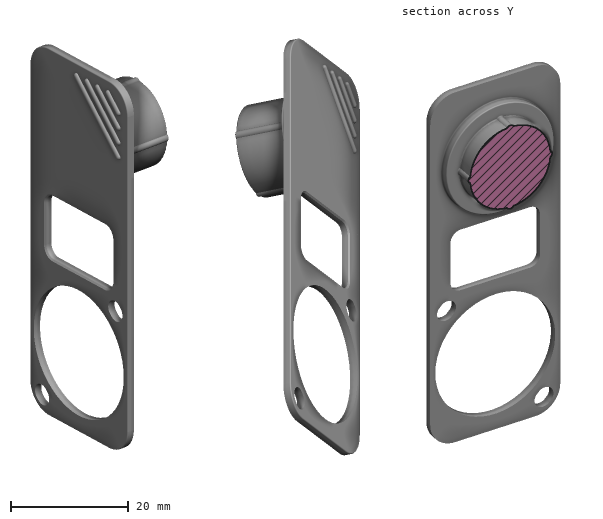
import cadquery as cq
import math

plate_width = 26.0
plate_height = 70.0
plate_thickness = 1.4
plate_corner_radius = 5.0
plate_edge_fillet = 0.2

window_width = 17.85
window_height = 12.1
window_center_z = 1.1
window_corner_radius = 2.0
window_bevel = 0.3

opening_diameter = 23.95
opening_center_z = -19.95
screw_offset_x = 9.7
screw_offset_z = 11.75
screw_slot_width = 3.4
screw_slot_length = 3.9
screw_slot_angle = -45.0

post_center_z = 20.0
flange_diameter = 21.5
flange_thickness = 1.6
post_diameter = 16.1
post_length = 10.0
boss_fillet = 0.2
key_count = 4
key_radius = 0.8
key_tip_radius = 8.4

rib_count = 4
rib_pitch = 2.8
rib_radius = 0.5
rib_first_x = -0.55
rib_top_z = 32.75
rib_end_x = 10.65
rib_angle = 45.0


def upright_plane(center_z, y=0.0, center_x=0.0):
    """Plane parallel to the plate whose normal points toward +Y."""
    return cq.Plane(origin=(center_x, y, center_z), xDir=(1, 0, 0), normal=(0, 1, 0))


def slab_selector(y, center_z, reach):
    """Selects edges centred in a thin slab at depth y, within reach of (0, center_z)."""
    slab_margin = 0.01
    return cq.selectors.BoxSelector(
        (-reach, y - slab_margin, center_z - reach),
        (reach, y + slab_margin, center_z + reach),
    )


def rounded_block(width, height, depth, corner_radius, center_z):
    block = cq.Workplane(upright_plane(center_z)).rect(width, height).extrude(depth)
    return block.edges("|Y").fillet(corner_radius)


def make_plate():
    plate = rounded_block(plate_width, plate_height, plate_thickness, plate_corner_radius, 0)
    return plate.faces("<Y").edges().fillet(plate_edge_fillet)


def make_window_cutter():
    return rounded_block(
        window_width, window_height, plate_thickness, window_corner_radius, window_center_z
    )


def make_screw_slot(side):
    plane = upright_plane(opening_center_z + side * screw_offset_z, center_x=side * screw_offset_x)
    slot = cq.Workplane(plane).slot2D(screw_slot_length, screw_slot_width, -screw_slot_angle)
    return slot.extrude(plate_thickness)


def make_boss():
    """Flange and keyed post, both with rounded outer edges and a rounded corner between them."""
    flange = (
        cq.Workplane(upright_plane(post_center_z, plate_thickness))
        .circle(flange_diameter / 2)
        .extrude(flange_thickness)
    )
    flange = flange.faces(">Y").edges().fillet(boss_fillet)
    post_base = upright_plane(post_center_z, plate_thickness + flange_thickness)
    post = cq.Workplane(post_base).circle(post_diameter / 2).extrude(post_length)
    post = post.faces(">Y").edges().fillet(boss_fillet)
    keys = (
        cq.Workplane(post_base)
        .polarArray(key_tip_radius - key_radius, 0, 360, key_count)
        .circle(key_radius)
        .extrude(post_length)
    )
    post = post.union(keys.faces(">Y").edges().fillet(boss_fillet))
    boss = flange.union(post)
    post_foot_edges = boss.edges(
        slab_selector(plate_thickness + flange_thickness, post_center_z, key_tip_radius)
    )
    return post_foot_edges.fillet(boss_fillet)


def make_rib(start_x):
    """Round-ended bar sloping down to +X, half sunk in the front face, from (start_x, rib_top_z)."""
    length = (rib_end_x - start_x) / math.cos(math.radians(rib_angle))
    bar = cq.Workplane("YZ").circle(rib_radius).extrude(length)
    for end_x in (0, length):
        bar = bar.union(cq.Workplane("XY").sphere(rib_radius).translate((end_x, 0, 0)))
    return bar.rotate((0, 0, 0), (0, 1, 0), rib_angle).translate((start_x, 0, rib_top_z))


result = make_plate().cut(make_window_cutter())
window_front_edges = result.edges(slab_selector(0, window_center_z, window_width / 2))
result = window_front_edges.chamfer(window_bevel)

opening = (
    cq.Workplane(upright_plane(opening_center_z))
    .circle(opening_diameter / 2)
    .extrude(plate_thickness)
)
result = result.cut(opening)
for side in (-1, 1):
    result = result.cut(make_screw_slot(side))

result = result.union(make_boss())
flange_foot_edges = result.edges(
    slab_selector(plate_thickness, post_center_z, flange_diameter / 2)
)
result = flange_foot_edges.fillet(boss_fillet)
for index in range(rib_count):
    result = result.union(make_rib(rib_first_x + index * rib_pitch))